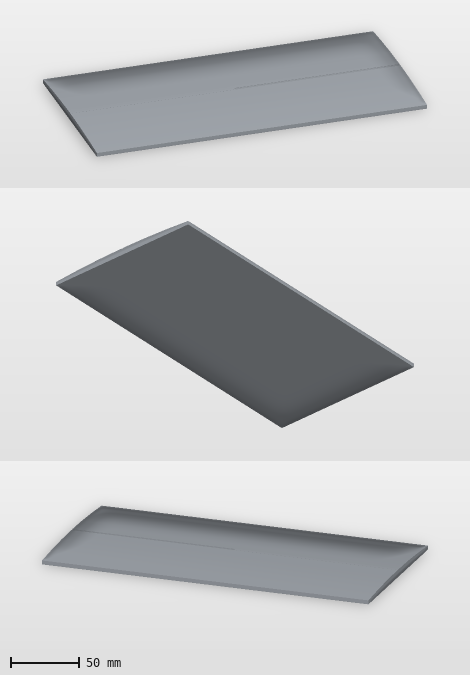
import cadquery as cq

width = 127.0
length = 254.0
total_height = 5.8
edge_height = 3.0

strip_rise = 0.08
groove_width = 2.5
groove_depth = 0.3
strip_length = length / 2

crown_height = total_height - strip_rise
groove_floor = crown_height - groove_depth


def crown_block(block_length, top_z):
    """Block on the crown line, from the front end and the groove floor up to top_z."""
    return (
        cq.Workplane("XY", origin=(0, (block_length - length) / 2, groove_floor))
        .rect(groove_width, block_length)
        .extrude(top_z - groove_floor)
    )


def make_panel():
    """Panel with a flat bottom, a cylindrical top and a shallow groove along the crown."""
    half_width = width / 2
    arched_panel = (
        cq.Workplane("XZ", origin=(0, length / 2, 0))
        .moveTo(-half_width, 0)
        .lineTo(half_width, 0)
        .lineTo(half_width, edge_height)
        .threePointArc((0, crown_height), (-half_width, edge_height))
        .close()
        .extrude(length)
    )
    return arched_panel.cut(crown_block(length, total_height))


def make_strip():
    """Flat strip in the front half of the groove, standing slightly above the crown."""
    return crown_block(strip_length, total_height)


panel = make_panel()
strip = make_strip()

result = cq.Compound.makeCompound([panel.val(), strip.val()])